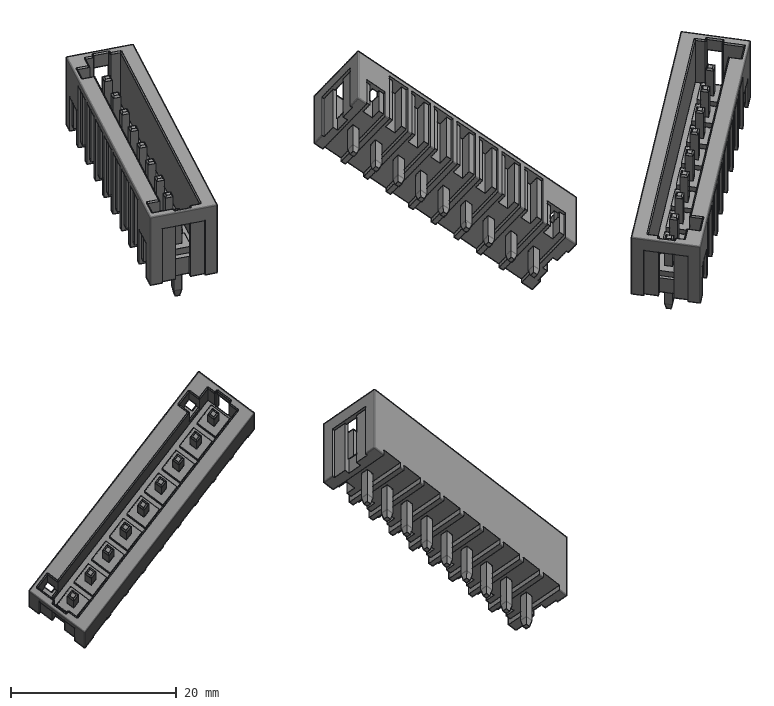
import cadquery as cq

LENGTH = 33.9
WIDTH = 8.5
HEIGHT = 10.3
EDGE_RADIUS = 0.1

PIN_COUNT = 9
PIN_SPAN = 28.0
PITCH = PIN_SPAN / (PIN_COUNT - 1)
FIRST_PIN_X = 2.78
PIN_Y = 4.35
PIN_SIZE = 1.0
PIN_TOP = 8.2
PIN_BOTTOM = -4.5
PIN_TIP_SIZE = 0.58
UPPER_TAPER = 0.25
LOWER_TAPER = 1.02

CAVITY_END_WALL = 1.02
CAVITY_FRONT = 2.17
CAVITY_BACK = 6.58
FLOOR_Z = 2.55
RIM_CHAMFER = 0.17
CELL = 2.85
BOSS_TOP = 3.45
BOSS_SIZE = 2.8

GROOVE_DEPTH = 0.322
INNER_GROOVE_WIDTH = 1.42
INNER_GROOVE_DEPTH = 1.6
GROOVE_BEVEL = 0.1
TALL_GROOVE_TOP = 9.32
SHORT_GROOVE_TOP = 5.22
CHANNEL_HEIGHT = 0.8

RECESS_WIDTH = 5.42
RECESS_DEPTH = 0.35
RECESS_TOP = 8.27
SLOT_WIDTH = 1.9
SLOT_WALL = 0.6
SLOT_CORNER = 0.17

NOTCH_WIDTH = 1.95
FIRST_NOTCH_LEFT = 2.7
LAST_NOTCH_LEFT = LENGTH - CAVITY_END_WALL - NOTCH_WIDTH
NOTCH_FRONT = 0.6
NOTCH_FLOOR = 4.37

pin_xs = [FIRST_PIN_X + i * PITCH for i in range(PIN_COUNT)]
mid_y = WIDTH / 2


def block(x0, x1, y0, y1, z0, z1):
    """Box between two limits along each axis."""
    return cq.Workplane("XY").box(x1 - x0, y1 - y0, z1 - z0, centered=False).translate((x0, y0, z0))


def cell_block(x, width, y0, y1, z0, z1):
    """Box centred on a pin position along X."""
    return block(x - width / 2, x + width / 2, y0, y1, z0, z1)


def pin_taper(x, z, height):
    """Square taper that starts at full pin size at z and ends at the tip size."""
    return (
        cq.Workplane("XY", origin=(x, PIN_Y, z))
        .rect(PIN_SIZE, PIN_SIZE)
        .workplane(offset=height)
        .rect(PIN_TIP_SIZE, PIN_TIP_SIZE)
        .loft()
    )


def pin(x):
    """Square contact pin with a tapered tip at both ends."""
    shank_bottom = PIN_BOTTOM + LOWER_TAPER
    shank_top = PIN_TOP - UPPER_TAPER
    half = PIN_SIZE / 2
    shank = cell_block(x, PIN_SIZE, PIN_Y - half, PIN_Y + half, shank_bottom, shank_top)
    upper_tip = pin_taper(x, shank_top, UPPER_TAPER)
    lower_tip = pin_taper(x, shank_bottom, -LOWER_TAPER)
    return shank.union(upper_tip).union(lower_tip)


def front_groove(x, top):
    """Shallow wide groove with a deep narrow one in its middle."""
    wide = cell_block(x, CELL, 0, GROOVE_DEPTH, 0, top)
    narrow = cell_block(x, INNER_GROOVE_WIDTH, 0, INNER_GROOVE_DEPTH, 0, top)
    return wide.union(narrow)


def end_recess():
    """Stepped recess in the outside of the -X end wall."""
    half_recess = RECESS_WIDTH / 2
    half_slot = SLOT_WIDTH / 2
    wide = block(0, RECESS_DEPTH, mid_y - half_recess, mid_y + half_recess, 0, RECESS_TOP)
    narrow = block(0, CAVITY_END_WALL, mid_y - half_slot, mid_y + half_slot, 0, RECESS_TOP)
    return wide.union(narrow)


def floor_bevel(x0, x1, edge_y, size_y):
    """Wedge that bevels a notch floor where it ends at edge_y; size_y points into the floor."""
    return (
        cq.Workplane("YZ", origin=(x0, 0, 0))
        .moveTo(edge_y + size_y, NOTCH_FLOOR)
        .lineTo(edge_y, NOTCH_FLOOR - abs(size_y))
        .lineTo(edge_y, NOTCH_FLOOR)
        .close()
        .extrude(x1 - x0)
    )


def keying_notch(left, pin_x):
    """Notch whose floor is bevelled towards the cavity and towards the groove below it."""
    right = left + NOTCH_WIDTH
    groove_right = pin_x + INNER_GROOVE_WIDTH / 2
    notch = block(left, right, NOTCH_FRONT, CAVITY_BACK, NOTCH_FLOOR, HEIGHT)
    cavity_bevel = floor_bevel(left, right, CAVITY_FRONT, -RIM_CHAMFER)
    groove_bevel = floor_bevel(left, groove_right, INNER_GROOVE_DEPTH, GROOVE_BEVEL)
    return notch.union(cavity_bevel).union(groove_bevel)


def cavity_with_slots():
    """Cavity plus the end wall slots, with the corners between them bevelled."""
    right = LENGTH - CAVITY_END_WALL
    slot_front = mid_y - SLOT_WIDTH / 2
    slot_back = mid_y + SLOT_WIDTH / 2
    cavity = block(CAVITY_END_WALL, right, CAVITY_FRONT, CAVITY_BACK, FLOOR_Z, HEIGHT)
    slots = block(SLOT_WALL, LENGTH - SLOT_WALL, slot_front, slot_back, FLOOR_Z, HEIGHT)
    margin = SLOT_CORNER
    corner_region = cq.selectors.BoxSelector(
        (CAVITY_END_WALL - margin, slot_front - margin, 0),
        (right + margin, slot_back + margin, HEIGHT),
    )
    return cavity.union(slots).edges("|Z").edges(corner_region).chamfer(SLOT_CORNER)


def mating_opening():
    """Everything open to the top, flared out at the rim."""
    opening = cavity_with_slots()
    opening = opening.union(keying_notch(FIRST_NOTCH_LEFT, pin_xs[0]))
    opening = opening.union(keying_notch(LAST_NOTCH_LEFT, pin_xs[-1]))
    outline = opening.faces(">Z").wires().val()
    rim = (
        cq.Workplane("XY", origin=(0, 0, HEIGHT))
        .add(outline.offset2D(RIM_CHAMFER, "arc")[0])
        .toPending()
        .extrude(-RIM_CHAMFER, taper=45)
    )
    return opening.union(rim)


housing = block(0, LENGTH, 0, WIDTH, 0, HEIGHT).edges().fillet(EDGE_RADIUS)
housing = housing.cut(mating_opening())

for x in pin_xs:
    is_end_pin = x in (pin_xs[0], pin_xs[-1])
    groove_top = SHORT_GROOVE_TOP if is_end_pin else TALL_GROOVE_TOP
    housing = housing.cut(front_groove(x, groove_top))
    housing = housing.cut(cell_block(x, CELL, 0, WIDTH, 0, CHANNEL_HEIGHT))

recess = end_recess()
opposite_recess = recess.mirror("YZ", (LENGTH / 2, 0, 0))
housing = housing.cut(recess).cut(opposite_recess)

result = housing
for x in pin_xs:
    boss = cell_block(x, BOSS_SIZE, PIN_Y - BOSS_SIZE / 2, PIN_Y + BOSS_SIZE / 2, FLOOR_Z, BOSS_TOP)
    result = result.union(boss).union(pin(x))